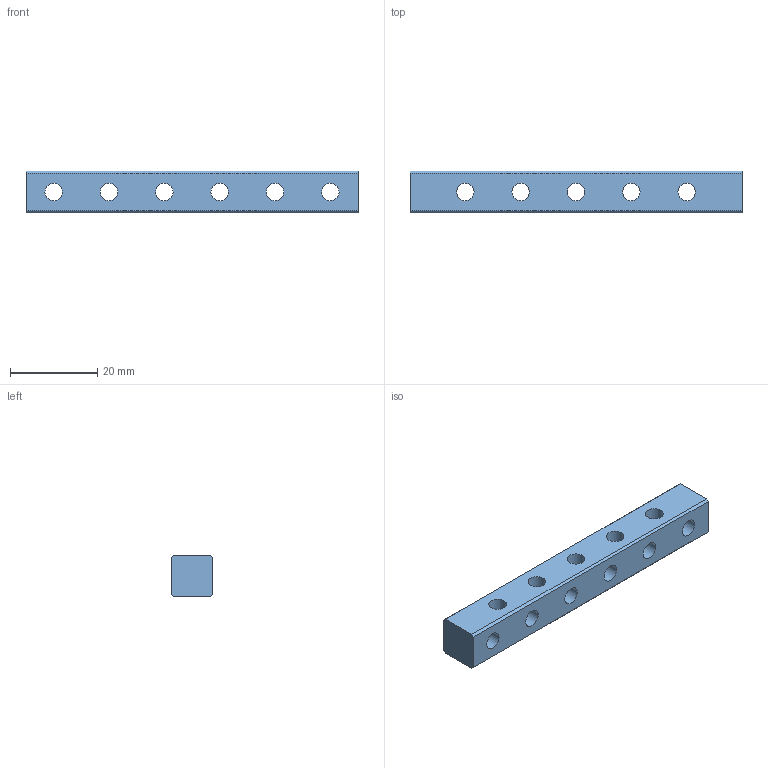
import cadquery as cq

INCH = 25.4
length_inches = 3
length = length_inches * INCH
width_inches = 3 / 8
width = width_inches * INCH
edge_chamfer = 0.5

front_hole_count = 6
top_hole_count = front_hole_count - 1
hole_pitch = length / front_hole_count
hole_diameter = 0.159 * INCH


def make_bar():
    """Square bar along X, centred on the origin, with its four long edges chamfered."""
    return cq.Workplane("XY").box(length, width, width).edges("|X").chamfer(edge_chamfer)


def drill_row(bar, face, count):
    """Drill a centred row of through holes along X, square to the chosen face."""
    return (
        bar.faces(face)
        .workplane(centerOption="CenterOfBoundBox")
        .rarray(hole_pitch, 1, count, 1)
        .hole(hole_diameter)
    )


bar = make_bar()
bar = drill_row(bar, "<Y", front_hole_count)
bar = drill_row(bar, ">Z", top_hole_count)
result = bar